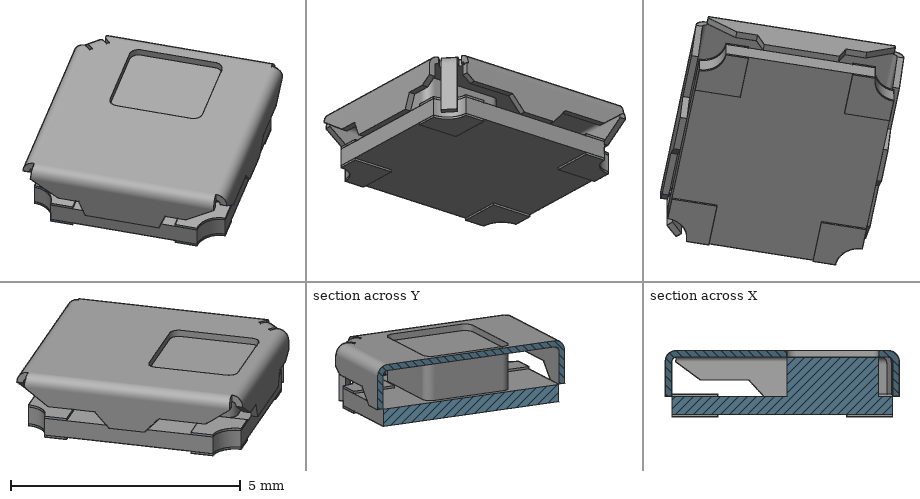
import cadquery as cq
import math

overall_width = 4.6
overall_length = 5.1
overall_height = 1.45

pad_size = 1.0
pad_thickness = 0.05
board_thickness = 0.4
castellation_radius = 0.5
board_bottom = pad_thickness
board_top = board_bottom + board_thickness

sheet = 0.15
bend_radius = 0.25
bend_bottom = overall_height - bend_radius
plate_half_x = overall_width / 2 - bend_radius
plate_half_y = overall_length / 2 - bend_radius
flap_taper = 0.02
shoulder_height = 0.8

end_shoulder, end_tongue_root, end_tongue_tip = 1.44, 0.98, 0.83
side_shoulder, side_tongue_root, side_tongue_tip = 1.78, 0.73, 0.405

leg_width = 0.35
leg_bend_radius = 0.3
leg_setback = 0.06
leg_bottom = 0.1
notch_angle = 135.0
notch_width = 0.5
notch_depth = 0.435
notch_trim = notch_width / math.sqrt(2)
side_flap_overhang = 0.03

window_width = 2.08
window_length = 2.005
window_center_y = 1.1
window_corner_radius = 0.205

board_width = overall_width - 2 * sheet
board_length = overall_length - 2 * sheet
corner_signs = [(sx, sy) for sx in (-1, 1) for sy in (-1, 1)]


def window_prism(bottom, top):
    """Rounded rectangular prism with the window's outline."""
    return (
        cq.Workplane("XY", origin=(0, window_center_y, bottom))
        .rect(window_width, window_length)
        .extrude(top - bottom)
        .edges("|Z")
        .fillet(window_corner_radius)
    )


def castellations():
    """Vertical cylinders that scoop out the four board corners."""
    return (
        cq.Workplane("XY")
        .rect(board_width, board_length, forConstruction=True)
        .vertices()
        .circle(castellation_radius)
        .extrude(overall_height)
    )


def make_board():
    """Board with scooped corners and the raised block on top."""
    slab = (
        cq.Workplane("XY", origin=(0, 0, board_bottom))
        .rect(board_width, board_length)
        .extrude(board_thickness)
        .cut(castellations())
    )
    return slab.union(window_prism(board_top, overall_height - sheet))


def make_pad(sign_x, sign_y, bottom):
    """Square corner pad, scooped like the board."""
    center_x = sign_x * (board_width - pad_size) / 2
    center_y = sign_y * (board_length - pad_size) / 2
    return (
        cq.Workplane("XY", origin=(center_x, center_y, bottom))
        .rect(pad_size, pad_size)
        .extrude(pad_thickness)
        .cut(castellations())
    )


def bent_strip(root, face, radius, bottom, half_width):
    """Sheet strip running out along +X from `root`, bent down to an outer face at X = `face`."""
    inner_radius = radius - sheet
    center_x = face - radius
    center_z = overall_height - radius
    diagonal = math.sqrt(0.5)
    return (
        cq.Workplane("XZ", origin=(0, half_width, 0))
        .moveTo(root, overall_height)
        .lineTo(center_x, overall_height)
        .threePointArc(
            (center_x + radius * diagonal, center_z + radius * diagonal),
            (face, center_z),
        )
        .lineTo(face, bottom)
        .lineTo(face - sheet, bottom)
        .lineTo(face - sheet, center_z)
        .threePointArc(
            (center_x + inner_radius * diagonal, center_z + inner_radius * diagonal),
            (center_x, overall_height - sheet),
        )
        .lineTo(root, overall_height - sheet)
        .close()
        .extrude(2 * half_width)
    )


def make_flap(half_length, face, shoulder, tongue_root, tongue_tip):
    """Cover flap facing +X: a bent strip trimmed to a stepped outline."""
    half_outline = [
        (half_length, overall_height),
        (half_length + flap_taper, bend_bottom),
        (shoulder, shoulder_height),
        (tongue_root, shoulder_height),
        (tongue_tip, board_top),
    ]
    mirrored_half = [(-along, z) for along, z in reversed(half_outline)]
    outline = cq.Workplane("YZ").polyline(half_outline + mirrored_half).close().extrude(overall_length)
    root = face - bend_radius - sheet
    return bent_strip(root, face, bend_radius, board_top, overall_length).intersect(outline)


def flap_trims():
    """Blocks outside the plate that shorten the two flaps beside the notch."""
    trim_x = -plate_half_x + notch_trim
    trim_y = plate_half_y - notch_trim
    flap_depth = bend_radius + sheet
    end_flap_trim = (
        cq.Workplane("XY", origin=(trim_x, plate_half_y, 0))
        .rect(-overall_width, flap_depth, centered=False)
        .extrude(overall_height)
    )
    side_bend_trim = (
        cq.Workplane("XY", origin=(-plate_half_x, trim_y, bend_bottom))
        .rect(-flap_depth, overall_length, centered=False)
        .extrude(bend_radius)
    )
    side_flat_trim = (
        cq.Workplane("XY", origin=(-plate_half_x, trim_y + side_flap_overhang, 0))
        .rect(-flap_depth, overall_length, centered=False)
        .extrude(bend_bottom)
    )
    return end_flap_trim.union(side_bend_trim).union(side_flat_trim)


def to_notch_corner(shape):
    """Move a shape built along +X from the origin to point out of the notched corner."""
    return shape.rotate((0, 0, 0), (0, 0, 1), notch_angle).translate((-plate_half_x, plate_half_y, 0))


def make_cover():
    """Sheet cover: windowed plate, four bent flaps and the grounding leg."""
    side_flap = make_flap(plate_half_y, overall_width / 2, side_shoulder, side_tongue_root, side_tongue_tip)
    end_flap = make_flap(plate_half_x, overall_length / 2, end_shoulder, end_tongue_root, end_tongue_tip)
    cover = (
        cq.Workplane("XY", origin=(0, 0, overall_height - sheet))
        .rect(2 * plate_half_x, 2 * plate_half_y)
        .extrude(sheet)
    )
    for flap, angle in ((side_flap, 0), (end_flap, 90), (side_flap, 180), (end_flap, 270)):
        cover = cover.union(flap.rotate((0, 0, 0), (0, 0, 1), angle))
    cover = cover.cut(window_prism(overall_height - sheet, overall_height)).cut(flap_trims())

    notch = (
        cq.Workplane("XY", origin=(-notch_depth, -notch_width / 2, 0))
        .rect(2 * notch_depth, notch_width, centered=False)
        .extrude(overall_height)
    )
    leg = bent_strip(-notch_depth, -leg_setback, leg_bend_radius, leg_bottom, leg_width / 2)
    return cover.cut(to_notch_corner(notch)).union(to_notch_corner(leg))


board = make_board()
cover = make_cover()
pads = [
    make_pad(sign_x, sign_y, bottom)
    for bottom in (0, board_top)
    for sign_x, sign_y in corner_signs
]

result = cq.Compound.makeCompound([board.val(), cover.val(), *[pad.val() for pad in pads]])